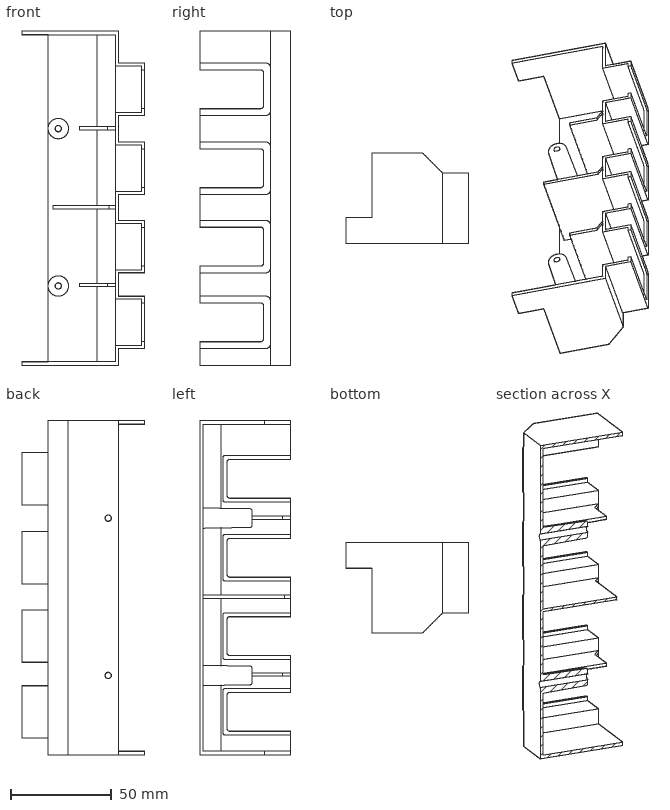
import cadquery as cq
import math

width = 61.0
depth = 45.0
height = 166.0

wall = 1.5
end_plate = 2.0

flange_reach = 13.0
body_right = width - flange_reach
bevel = 10.0
bevel_front = depth - bevel

inner_right = body_right - wall
bevel_shift = wall * math.tan(math.radians(45 / 2))
inner_back = depth - wall
inner_bevel_left = body_right - bevel - bevel_shift
inner_bevel_front = bevel_front - bevel_shift

box_height = 26.0
box_bottoms = [8.5, 46.0, 84.8, 124.0]
box_inner_radius = 1.0
box_outer_radius = box_inner_radius + wall
window_lip = 2.0
window_radius = 1.3

rib_thickness = 1.7
short_rib_left = 28.5
short_rib_setback = 4.0
long_rib_left = 15.5
long_rib_setback = 3.2
lower_rib_z = 40.0
middle_rib_z = 78.5
upper_rib_z = 117.7

post_x = 18.1
post_heights = [39.5, 117.5]
post_front = 19.1
post_base_diameter = 10.1
post_tip_diameter = 9.3
post_face_diameter = 7.0
post_hole_diameter = 3.0
post_round = (post_tip_diameter - post_face_diameter) / 2


def plate(points, z_bottom, thickness):
    """Flat horizontal plate with the given XY outline."""
    return cq.Workplane("XY").workplane(offset=z_bottom).polyline(points).close().extrude(thickness)


def block(x_range, y_range, z_range):
    """Axis-aligned block between the given limits."""
    (x0, x1), (y0, y1), (z0, z1) = x_range, y_range, z_range
    return cq.Workplane("XY").box(x1 - x0, y1 - y0, z1 - z0, centered=False).translate((x0, y0, z0))


def end_plate_at(z_bottom):
    """Closing plate with a flange reaching forward past the open side."""
    outline = [
        (0, 0),
        (body_right, 0),
        (body_right, bevel_front),
        (body_right - bevel, depth),
        (flange_reach, depth),
        (flange_reach, flange_reach),
        (0, flange_reach),
    ]
    return plate(outline, z_bottom, end_plate)


def back_and_side_walls():
    """Continuous sheet: back wall, bevel, then side wall."""
    outline = [
        (flange_reach, depth),
        (body_right - bevel, depth),
        (body_right, bevel_front),
        (body_right, 0),
        (inner_right, 0),
        (inner_right, inner_bevel_front),
        (inner_bevel_left, inner_back),
        (flange_reach, inner_back),
    ]
    return plate(outline, 0, height)


def rib(z_middle, left, setback):
    """Rib whose front edge is set back and flares forward to meet the side wall."""
    outline = [
        (left, setback),
        (inner_right - setback, setback),
        (inner_right, 0),
        (body_right, 0),
        (body_right, bevel_front),
        (body_right - bevel, depth),
        (left, depth),
    ]
    return plate(outline, z_middle - rib_thickness / 2, rib_thickness)


def box_shell(z_bottom):
    """Solid outside of a side box, rounded along its two rear edges."""
    z_range = (z_bottom, z_bottom + box_height)
    shell = block((inner_right, width), (0, bevel_front), z_range)
    return shell.edges("|X and >Y").fillet(box_outer_radius)


def box_cavity(z_bottom):
    """Room inside a side box, open to the front and to the trough."""
    z_range = (z_bottom + wall, z_bottom + box_height - wall)
    cavity = block((inner_right, width - wall), (0, bevel_front - wall), z_range)
    return cavity.edges("|X and >Y").fillet(box_inner_radius)


def box_window(z_bottom):
    """Opening in the outer wall of a side box, leaving a lip on three sides."""
    margin = wall + window_lip
    z_range = (z_bottom + margin, z_bottom + box_height - margin)
    window = block((width - wall, width), (0, bevel_front - margin), z_range)
    return window.edges("|X and >Y").fillet(window_radius)


def post(z_middle):
    """Tapered post standing on the back wall, with a rounded tip."""
    return (
        cq.Workplane("XZ", origin=(post_x, inner_back, z_middle))
        .circle(post_base_diameter / 2)
        .workplane(offset=inner_back - post_front)
        .circle(post_tip_diameter / 2)
        .loft()
        .faces("<Y")
        .edges()
        .fillet(post_round)
    )


def post_hole(z_middle):
    """Bore through a post and the back wall."""
    return (
        cq.Workplane("XZ", origin=(post_x, depth, z_middle))
        .circle(post_hole_diameter / 2)
        .extrude(depth - post_front)
    )


result = back_and_side_walls()
result = result.union(end_plate_at(0)).union(end_plate_at(height - end_plate))

result = result.union(rib(middle_rib_z, long_rib_left, long_rib_setback))
for z in (lower_rib_z, upper_rib_z):
    result = result.union(rib(z, short_rib_left, short_rib_setback))

for z in box_bottoms:
    result = result.union(box_shell(z)).cut(box_cavity(z)).cut(box_window(z))

for z in post_heights:
    result = result.union(post(z)).cut(post_hole(z))